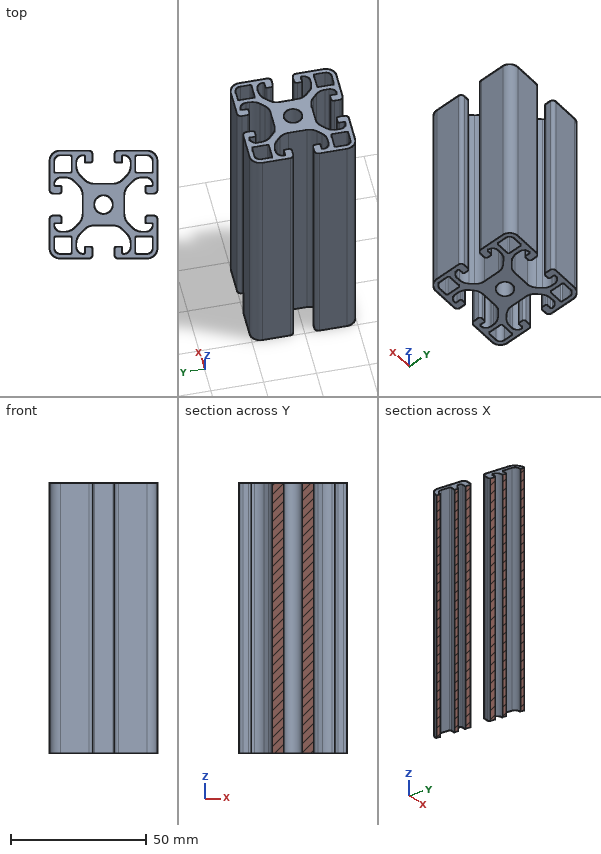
import cadquery as cq
import math

SIDE = 40.0
LENGTH = 100.0
HALF_SIDE = SIDE / 2
CORNER_RADIUS = 4.0

WALL = 1.8
INNER_FACE = HALF_SIDE - WALL
BORE_DIAMETER = 6.8

SLOT_COUNT = 4
MOUTH_HALF_WIDTH = 4.0
LIP_WIDTH = 2.9
LIP_DEPTH = 4.5
LIP_EDGE = MOUTH_HALF_WIDTH + LIP_WIDTH
LIP_BOTTOM = HALF_SIDE - LIP_DEPTH
LIP_OUTER_RADIUS = 1.5
LIP_INNER_RADIUS = 1.0
LIP_BACK_RADIUS = 0.4
CAVITY_HALF_WIDTH = 10.0
CAVITY_FLOOR = 7.75
CAVITY_BEND_RADIUS = 5.0
CAVITY_ROOF_RADIUS = 2.55
CAVITY_TIP_RADIUS = 0.5

WEB_OFFSET = 2.2

CHAMBER_INNER = 11.8
CHAMBER_CORNER_RADIUS = CORNER_RADIUS - WALL
CHAMBER_SMALL_RADIUS = 0.5


def slot_half():
    """Right half of the +Y slot, from the centre line outwards."""
    web_start = (CAVITY_FLOOR - WEB_OFFSET, CAVITY_FLOOR)
    web_end = (CAVITY_HALF_WIDTH, CAVITY_HALF_WIDTH + WEB_OFFSET)
    half = (
        cq.Workplane("XY")
        .moveTo(0, HALF_SIDE)
        .lineTo(MOUTH_HALF_WIDTH, HALF_SIDE)
        .lineTo(MOUTH_HALF_WIDTH, LIP_BOTTOM)
        .lineTo(LIP_EDGE, LIP_BOTTOM)
        .lineTo(LIP_EDGE, INNER_FACE)
        .lineTo(CAVITY_HALF_WIDTH, INNER_FACE)
        .lineTo(*web_end)
        .lineTo(*web_start)
        .lineTo(0, CAVITY_FLOOR)
        .close()
        .extrude(LENGTH)
    )
    half = fillet_at(half, web_start, CAVITY_BEND_RADIUS)
    half = fillet_at(half, web_end, CAVITY_BEND_RADIUS)
    half = fillet_at(half, (CAVITY_HALF_WIDTH, INNER_FACE), CAVITY_ROOF_RADIUS)
    half = fillet_at(half, (LIP_EDGE, INNER_FACE), CAVITY_TIP_RADIUS)
    half = fillet_at(half, (LIP_EDGE, LIP_BOTTOM), LIP_BACK_RADIUS)
    half = fillet_at(half, (MOUTH_HALF_WIDTH, LIP_BOTTOM), LIP_INNER_RADIUS)
    return half.union(mouth_flare())


def fillet_at(solid, corner, radius):
    """Round the vertical edge that stands on the given XY corner."""
    edge = solid.edges("|Z").edges(cq.selectors.NearestToPointSelector((*corner, LENGTH / 2)))
    return edge.fillet(radius)


def mouth_flare():
    """Sliver that rounds the outer edge of a lip when it is cut away."""
    bend = LIP_OUTER_RADIUS * (1 - math.sqrt(0.5))
    return (
        cq.Workplane("XY")
        .moveTo(MOUTH_HALF_WIDTH, HALF_SIDE)
        .lineTo(MOUTH_HALF_WIDTH + LIP_OUTER_RADIUS, HALF_SIDE)
        .threePointArc(
            (MOUTH_HALF_WIDTH + bend, HALF_SIDE - bend),
            (MOUTH_HALF_WIDTH, HALF_SIDE - LIP_OUTER_RADIUS),
        )
        .close()
        .extrude(LENGTH)
    )


def slot():
    """Complete +Y slot, symmetric about its centre line."""
    half = slot_half()
    return half.union(half.mirror("YZ"))


def corner_chamber():
    """Hollow in the +X +Y corner, with all four corners rounded."""
    size = INNER_FACE - CHAMBER_INNER
    block = (
        cq.Workplane("XY")
        .box(size, size, LENGTH, centered=False)
        .translate((CHAMBER_INNER, CHAMBER_INNER, 0))
    )
    block = fillet_at(block, (INNER_FACE, INNER_FACE), CHAMBER_CORNER_RADIUS)
    block = fillet_at(block, (CHAMBER_INNER, INNER_FACE), CHAMBER_SMALL_RADIUS)
    block = fillet_at(block, (INNER_FACE, CHAMBER_INNER), CHAMBER_SMALL_RADIUS)
    return fillet_at(block, (CHAMBER_INNER, CHAMBER_INNER), CHAMBER_SMALL_RADIUS)


def extrusion():
    """Square bar with a slot in each side, a chamber in each corner and a centre bore."""
    body = cq.Workplane("XY").rect(SIDE, SIDE).extrude(LENGTH)
    body = body.edges("|Z").fillet(CORNER_RADIUS)
    slot_cut = slot()
    chamber_cut = corner_chamber()
    for index in range(SLOT_COUNT):
        angle = index * 360.0 / SLOT_COUNT
        body = body.cut(slot_cut.rotate((0, 0, 0), (0, 0, 1), angle))
        body = body.cut(chamber_cut.rotate((0, 0, 0), (0, 0, 1), angle))
    return body.faces(">Z").workplane(origin=(0, 0, LENGTH)).hole(BORE_DIAMETER)


result = extrusion()